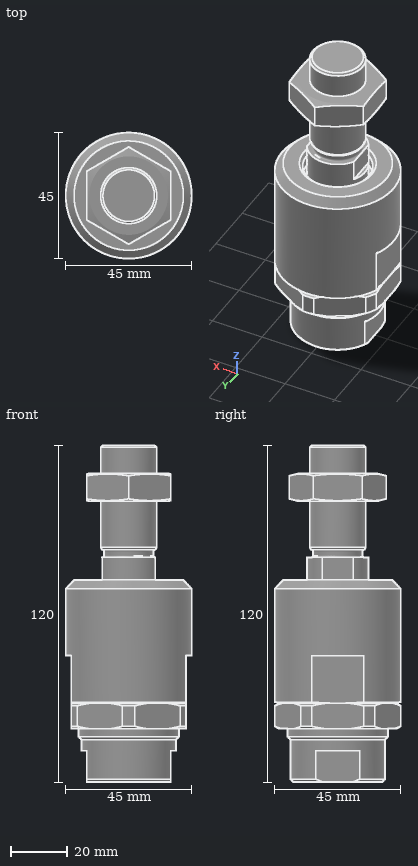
import cadquery as cq
import math

total_height = 120.0
socket_flat_top = 11.1
socket_thread_bottom = 16.2
locknut_bottom = 19.0
locknut_top = 28.0
housing_bottom = 28.5
housing_flat_top = 45.0
housing_top = 72.0
collar_top = 80.0
stud_thread_bottom = 83.6
jam_nut_bottom = 100.0
jam_nut_height = 10.0

stud_diameter = 20.0
stud_end_diameter = 18.38
stud_neck_diameter = 17.7
stud_taper_height = 0.85
neck_fillet = 0.7
collar_diameter = 22.0
collar_across_flats = 19.0

housing_diameter = 45.0
housing_across_flats = 41.0
housing_top_diameter = 39.0
housing_chamfer_height = 3.2
housing_foot_diameter = 40.0
opening_diameter = 25.0
opening_chamfer = 1.2
opening_depth = 5.5

socket_thread_diameter = 36.0
socket_diameter = 33.8
socket_across_flats = 30.0
socket_chamfer = 1.0

locknut_face_diameter = 42.0
locknut_bevel_angle = 30.0
jam_nut_across_flats = 30.0
jam_nut_face_diameter = 28.0
jam_nut_bevel_angle = 15.0


def cylinder(diameter, bottom, top):
    return cq.Workplane("XY").workplane(offset=bottom).circle(diameter / 2).extrude(top - bottom)


def turned(profile):
    """Revolve a closed (radius, height) profile about the Z axis."""
    return cq.Workplane("XZ").polyline(profile).close().revolve(360, (0, 0), (0, 1))


def cut_flats(body, across_flats, bottom, top):
    """Cut two parallel flats, facing -X and +X, between two heights."""
    depth = housing_diameter
    for side in (-1, 1):
        cutter = cq.Workplane("XY").box(depth, 2 * depth, top - bottom, centered=(True, True, False))
        body = body.cut(cutter.translate((side * (across_flats + depth) / 2, 0, bottom)))
    return body


def bevelled_hexagon(across_flats, outer_diameter, face_diameter, bevel_angle, bottom, top):
    """Hexagon with flats facing -X and +X, its corners turned down and bevelled at both faces."""
    across_corners = across_flats / math.cos(math.radians(30))
    prism = (
        cq.Workplane("XY")
        .workplane(offset=bottom)
        .polygon(6, across_corners)
        .extrude(top - bottom)
        .rotate((0, 0, 0), (0, 0, 1), 30)
    )
    outer_radius = outer_diameter / 2
    face_radius = face_diameter / 2
    bevel_height = (outer_radius - face_radius) * math.tan(math.radians(bevel_angle))
    envelope = turned([
        (0, bottom),
        (face_radius, bottom),
        (outer_radius, bottom + bevel_height),
        (outer_radius, top - bevel_height),
        (face_radius, top),
        (0, top),
    ])
    return prism.intersect(envelope)


def make_stud():
    """Threaded stud with a relief neck, standing on a collar with wrench flats."""
    stud_radius = stud_diameter / 2
    end_radius = stud_end_diameter / 2
    neck_radius = stud_neck_diameter / 2
    groove_radius = neck_radius + neck_fillet
    groove_top = stud_thread_bottom - stud_taper_height
    collar_bottom = housing_top - opening_depth
    end_chamfer = stud_radius - end_radius
    fillet_bulge = neck_fillet * (1 - math.sqrt(0.5))
    shank = (
        cq.Workplane("XZ")
        .moveTo(0, collar_top)
        .lineTo(groove_radius, collar_top)
        .threePointArc(
            (neck_radius + fillet_bulge, collar_top + fillet_bulge),
            (neck_radius, collar_top + neck_fillet),
        )
        .lineTo(neck_radius, groove_top - neck_fillet)
        .threePointArc(
            (neck_radius + fillet_bulge, groove_top - fillet_bulge),
            (groove_radius, groove_top),
        )
        .lineTo(stud_radius, stud_thread_bottom)
        .lineTo(stud_radius, total_height - end_chamfer)
        .lineTo(end_radius, total_height)
        .lineTo(0, total_height)
        .close()
        .revolve(360, (0, 0), (0, 1))
    )
    collar = cylinder(collar_diameter, collar_bottom, collar_top)
    collar = cut_flats(collar, collar_across_flats, housing_top, collar_top)
    return shank.union(collar)


def make_housing():
    """Round case with two wrench flats, a chamfered opening and a shallow cone under its rim."""
    radius = housing_diameter / 2
    foot_radius = housing_foot_diameter / 2
    opening_radius = opening_diameter / 2
    opening_floor = housing_top - opening_depth
    case = turned([
        (0, locknut_top),
        (foot_radius, locknut_top),
        (radius, housing_bottom),
        (radius, housing_top - housing_chamfer_height),
        (housing_top_diameter / 2, housing_top),
        (opening_radius + opening_chamfer, housing_top),
        (opening_radius, housing_top - opening_chamfer),
        (opening_radius, opening_floor),
        (0, opening_floor),
    ])
    return cut_flats(case, housing_across_flats, locknut_top, housing_flat_top)


def make_socket():
    """Lower end: threaded shoulder, tapered step and a chamfered shank with two wrench flats."""
    thread_radius = socket_thread_diameter / 2
    radius = socket_diameter / 2
    socket = turned([
        (0, 0),
        (radius - socket_chamfer, 0),
        (radius, socket_chamfer),
        (radius, socket_thread_bottom - (thread_radius - radius)),
        (thread_radius, socket_thread_bottom),
        (thread_radius, locknut_bottom),
        (0, locknut_bottom),
    ])
    return cut_flats(socket, socket_across_flats, 0, socket_flat_top)


def make_coupling():
    """Stud, housing, hexagon and socket as one solid."""
    locknut = bevelled_hexagon(
        housing_across_flats, housing_diameter, locknut_face_diameter,
        locknut_bevel_angle, locknut_bottom, locknut_top,
    )
    return make_socket().union(locknut).union(make_housing()).union(make_stud())


def make_jam_nut():
    """Hexagon nut on the stud thread."""
    across_corners = jam_nut_across_flats / math.cos(math.radians(30))
    top = jam_nut_bottom + jam_nut_height
    blank = bevelled_hexagon(
        jam_nut_across_flats, across_corners, jam_nut_face_diameter,
        jam_nut_bevel_angle, jam_nut_bottom, top,
    )
    return blank.cut(cylinder(stud_diameter, jam_nut_bottom, top))


coupling = make_coupling()
jam_nut = make_jam_nut()

result = cq.Compound.makeCompound([coupling.val(), jam_nut.val()])